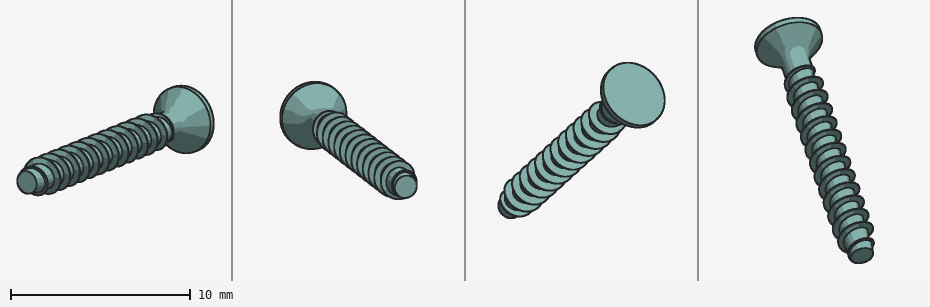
import cadquery as cq
import math


length = 16.0
head_radius = 1.9
head_rim_height = 0.35
head_cone_angle = math.radians(45)
neck_fillet_radius = 0.75
shank_radius = 0.81
shank_end = 2.52
shank_taper_end = 3.15
shank_taper_radius = 0.65

ramp_top_radius = 0.78
ramp_bottom_radius = 0.64
step_length = 0.05
tip_radius = 0.65
tip_cone_start = 15.2

pitch = 0.98
crest_radius = 1.1
crest_width = 0.05
flank_angle = math.radians(15)
root_radius = 0.55
phase_depth = 2.52

run_in_start = phase_depth - pitch / 4
run_in_end = phase_depth + pitch
run_in_crest_radius = 0.83
run_out_start = 14.6
run_out_crest_radius = tip_radius
run_out_end_gap = 0.02

CYLINDRICAL = 360.0


def thread_angle(depth):
    """Angle about the axis, in degrees from +X, where the thread lies at a depth."""
    return 360.0 * (depth - phase_depth) / pitch


def polygon_face(corners):
    return cq.Face.makeFromWires(cq.Wire.makePolygon(corners, close=True))


def solid_from(faces):
    return cq.Workplane(obj=cq.Solid.makeSolid(cq.Shell.makeShell(faces)).fix())


def helix_edge(radius, depth):
    """One turn of a cylindrical helix."""
    return cq.Wire.makeHelix(pitch, pitch, radius).translate(cq.Vector(0, 0, depth)).Edges()[0]


def cut_below(body, depth):
    """Remove everything on the tip side of a depth."""
    waste = cq.Workplane("XY").workplane(offset=depth).circle(head_radius).extrude(length)
    return body.cut(waste, clean=False)


def cut_tip_cone(core):
    """Turn the end of the core down to a cone."""
    waste = (
        cq.Workplane("XZ")
        .moveTo(ramp_top_radius, tip_cone_start)
        .lineTo(head_radius, tip_cone_start)
        .lineTo(head_radius, length)
        .lineTo(tip_radius, length)
        .close()
        .revolve(360, (0, 0, 0), (0, 1, 0))
    )
    return core.cut(waste, clean=False)


def helical_bar(profile, height, growth=0.0):
    """Solid swept by a (radius, offset) polygon in the axial plane along a right-hand helix.

    The polygon starts on the +X side; `growth` is its gain in radius over `height`.
    """
    cone_angle = math.atan2(growth, height)
    slant = 1.0 / math.cos(cone_angle)
    surface_angle = math.degrees(cone_angle) if growth else CYLINDRICAL
    edges = []
    for radius, offset in profile:
        helix = cq.Wire.makeHelix(pitch * slant, height * slant, radius, angle=surface_angle)
        edges.append(helix.translate(cq.Vector(0, 0, offset)).Edges()[0])
    faces = [cq.Face.makeRuledSurface(a, b) for a, b in zip(edges, edges[1:] + edges[:1])]
    for end in (0, 1):
        faces.append(polygon_face([edge.positionAt(end) for edge in edges]))
    return solid_from(faces)


def place(bar, depth):
    """Move a bar so that it starts at a depth, in phase with the thread."""
    return bar.rotate((0, 0, 0), (0, 0, 1), thread_angle(depth)).translate((0, 0, depth))


def thread_profile(crest, root):
    """Tapered (radius, offset) section of the thread, symmetrical about offset 0."""
    half_crest = crest_width / 2
    half_root = half_crest + (crest - root) * math.tan(flank_angle)
    return [(root, -half_root), (crest, -half_crest), (crest, half_crest), (root, half_root)]


def make_head_and_shank():
    """Countersunk head, filleted neck, plain shank and its taper into the core."""
    fillet_drop = neck_fillet_radius * (1 - math.cos(head_cone_angle))
    fillet_length = neck_fillet_radius * math.sin(head_cone_angle)
    neck_radius = shank_radius + fillet_drop
    neck_depth = head_rim_height + (head_radius - neck_radius) / math.tan(head_cone_angle)
    half_angle = head_cone_angle / 2
    fillet_end = neck_depth + fillet_length
    fillet_middle = (
        shank_radius + neck_fillet_radius * (1 - math.cos(half_angle)),
        fillet_end - neck_fillet_radius * math.sin(half_angle),
    )
    outline = (
        cq.Workplane("XZ")
        .moveTo(0, 0)
        .lineTo(head_radius, 0)
        .lineTo(head_radius, head_rim_height)
        .lineTo(neck_radius, neck_depth)
        .threePointArc(fillet_middle, (shank_radius, fillet_end))
        .lineTo(shank_radius, shank_end)
        .lineTo(shank_taper_radius, shank_taper_end)
        .lineTo(0, shank_taper_end)
        .close()
    )
    return outline.revolve(360, (0, 0, 0), (0, 1, 0))


def make_core():
    """Threaded core: each turn narrows towards the tip and steps back out under the thread."""
    start = phase_depth - pitch
    turns = math.ceil((length - start) / pitch)
    narrow_end = pitch - step_length

    faces = []
    for turn in range(turns):
        wide = helix_edge(ramp_top_radius, turn * pitch)
        narrow = helix_edge(ramp_bottom_radius, turn * pitch + narrow_end)
        next_wide = helix_edge(ramp_top_radius, (turn + 1) * pitch)
        faces.append(cq.Face.makeRuledSurface(wide, narrow))
        faces.append(cq.Face.makeRuledSurface(narrow, next_wide))
    for depth in (0, turns * pitch):
        axis_line = cq.Edge.makeLine(cq.Vector(0, 0, depth), cq.Vector(0, 0, depth + pitch))
        faces.append(cq.Face.makeRuledSurface(axis_line, helix_edge(ramp_top_radius, depth)))
        section = [
            (0, depth),
            (ramp_top_radius, depth),
            (ramp_bottom_radius, depth + narrow_end),
            (ramp_top_radius, depth + pitch),
            (0, depth + pitch),
        ]
        corners = [cq.Vector(radius, 0, z) for radius, z in section]
        faces.append(polygon_face(corners))
    core = cut_below(place(solid_from(faces), start), length)
    return cut_tip_cone(core)


def make_thread():
    """Run-in that grows from below the shank, full thread, and run-out that sinks into the tip."""
    run_in_growth = crest_radius - run_in_crest_radius
    run_in_profile = thread_profile(run_in_crest_radius, root_radius - run_in_growth)
    run_in = helical_bar(run_in_profile, run_in_end - run_in_start, run_in_growth)

    full_profile = thread_profile(crest_radius, root_radius)
    middle = helical_bar(full_profile, run_out_start - run_in_end)

    run_out_growth = run_out_crest_radius - crest_radius
    run_out = helical_bar(full_profile, length - run_out_start, run_out_growth)
    return [
        place(middle, run_in_end),
        place(run_in, run_in_start),
        cut_below(place(run_out, run_out_start), length - run_out_end_gap),
    ]


def make_screw():
    screw = make_core().union(make_head_and_shank(), clean=False)
    for piece in make_thread():
        screw = screw.union(piece, clean=False)
    return screw


result = make_screw().rotate((0, 0, 0), (1, 0, 0), 90)